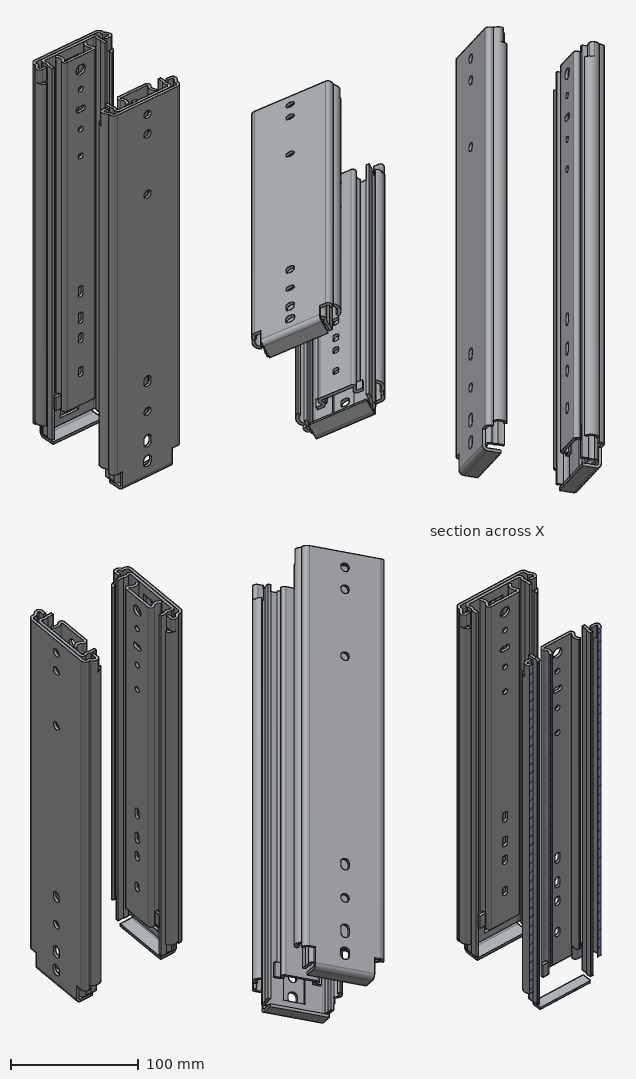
import cadquery as cq
import math

PAIR_WIDTH = 100.0
HEIGHT = 360.0
TOP = HEIGHT / 2
BOTTOM = -HEIGHT / 2

SHEET = 2.5
BEND_RADIUS = 1.8
BALL_DEPTH = 11.0
RACEWAY_OUTSIDE = 7.0
RACEWAY_INSIDE = RACEWAY_OUTSIDE - SHEET

STOP_LENGTH = 12.5
STOP_BEND_INSIDE = 0.55
STOP_BEND_OUTSIDE = STOP_BEND_INSIDE + SHEET

OUTER_HALF_WIDTH = 38.0
OUTER_FLANGE = 35.3
OUTER_BALL = OUTER_HALF_WIDTH - RACEWAY_OUTSIDE
OUTER_LIP_ANGLE = 20
OUTER_BOTTOM = -162.0
OUTER_RACEWAY_BOTTOM = -157.5
OUTER_STOP_DEPTH = BALL_DEPTH - 0.5
OUTER_STOP_END = 30.5
FOOT_HALF_WIDTH = 25.5
FOOT_DEPTH = 16.0

RAIL_GAP = 0.5
MIDDLE_FACE = SHEET + RAIL_GAP
MIDDLE_DEPTH = 17.5
MIDDLE_HALF_WIDTH = 28.5
MIDDLE_BEND = 1.0
MIDDLE_BOTTOM = -174.0
GROOVE_DEPTH_LINE = 9.7
GROOVE_HALF_WIDTH = 2.5
GROOVE_SAG = 0.7
WINDOW_HALF_WIDTH = 9.5
WINDOW_BOTTOM = -167.5
WINDOW_TOP = 170.5

INNER_FACE = 19.0
INNER_BALL = 18.7
INNER_BEND = 0.5
INNER_LIP_ANGLE = 218
INNER_BOTTOM = -152.0
INNER_STOP_DEPTH = BALL_DEPTH + 2.0
INNER_STOP_END = 20.0

OUTER_HOLES = [
    (167.0, 7.2, 7.2),
    (148.5, 7.2, 7.2),
    (91.0, 7.2, 7.2),
    (-86.8, 7.2, 9.7),
    (-115.5, 7.2, 7.2),
    (-143.5, 7.2, 11.5),
    (-162.7, 8.0, 10.5),
]
INNER_HOLES = [
    (167.0, 9.5, 9.5),
    (148.5, 5.0, 5.0),
    (129.5, 9.5, 5.0),
    (110.5, 5.0, 5.0),
    (85.0, 5.0, 5.0),
    (-44.0, 5.0, 10.5),
    (-69.0, 5.0, 10.5),
    (-88.2, 5.0, 9.0),
    (-120.2, 5.0, 9.0),
]


def polar(center, radius, degrees):
    angle = math.radians(degrees)
    return (center[0] + radius * math.cos(angle), center[1] + radius * math.sin(angle))


def curve(path, center, radius, start, end):
    """Continue the path, already at the start of an arc, along that arc; angles are in degrees."""
    return path.threePointArc(polar(center, radius, (start + end) / 2), polar(center, radius, end))


def arc(path, center, radius, start, end):
    """Run a straight line to the start of an arc, then follow the arc."""
    return curve(path.lineTo(*polar(center, radius, start)), center, radius, start, end)


def half_chord(offset, radius):
    """Half chord of a circle at a given offset from its centre."""
    return math.sqrt(radius**2 - offset**2)


def box(depths, widths, heights):
    size = [high - low for low, high in (depths, widths, heights)]
    corner = (depths[0], widths[0], heights[0])
    return cq.Workplane("XY").box(*size, centered=False).translate(corner)


def both_halves(half):
    return half.union(half.mirror("XZ")).clean()


def cut_holes(rail, holes):
    """Cut round holes and slots straight through a rail's web."""
    for height, across, along in holes:
        sketch = cq.Workplane("YZ").center(0, height)
        if along > across:
            sketch = sketch.slot2D(along, across, 90)
        elif across > along:
            sketch = sketch.slot2D(across, along)
        else:
            sketch = sketch.circle(across / 2)
        rail = rail.cut(sketch.extrude(INNER_FACE))
    return rail


def stop_tab(bend_depth, crown, end, side, low):
    """Tab that turns off a raceway crown and runs straight to `end`.

    `side` is +1 where the raceway crown faces away from the rail's centre and the tab bends to
    larger depth, and -1 where both are the other way round.
    """
    center = (bend_depth, crown - side * STOP_BEND_OUTSIDE)
    turn = 90 * side
    path = cq.Workplane("XY").workplane(offset=low)
    path = path.moveTo(bend_depth + side * STOP_BEND_INSIDE, end)
    path = arc(path, center, STOP_BEND_INSIDE, turn - 90, turn)
    path = arc(path, center, STOP_BEND_OUTSIDE, turn, turn - 90)
    path = path.lineTo(bend_depth + side * STOP_BEND_OUTSIDE, end)
    return path.close().extrude(STOP_LENGTH)


def outer_rail():
    ball = (BALL_DEPTH, OUTER_BALL)
    bend_outside = BEND_RADIUS + SHEET
    bend = (bend_outside, OUTER_FLANGE - bend_outside)
    root_outside = math.degrees(math.asin((OUTER_FLANGE - OUTER_BALL) / RACEWAY_OUTSIDE))
    root_inside = math.degrees(math.asin((OUTER_FLANGE - SHEET - OUTER_BALL) / RACEWAY_INSIDE))

    path = cq.Workplane("XY").workplane(offset=OUTER_BOTTOM).moveTo(0, 0)
    path = arc(path, bend, bend_outside, 180, 90)
    path = arc(path, ball, RACEWAY_OUTSIDE, 180 - root_outside, OUTER_LIP_ANGLE)
    path = arc(path, ball, RACEWAY_INSIDE, OUTER_LIP_ANGLE, 180 - root_inside)
    path = arc(path, bend, BEND_RADIUS, 90, 180)
    half = path.lineTo(SHEET, 0).close().extrude(TOP - OUTER_BOTTOM)

    root_depth = polar(ball, RACEWAY_OUTSIDE, 180 - root_outside)[0]
    beyond = PAIR_WIDTH / 2
    half = half.cut(box((root_depth, beyond), (0, beyond), (OUTER_BOTTOM, OUTER_RACEWAY_BOTTOM)))

    stop_low = TOP - STOP_LENGTH
    crown = OUTER_BALL + half_chord(OUTER_STOP_DEPTH - BALL_DEPTH, RACEWAY_OUTSIDE)
    half = half.cut(box((OUTER_STOP_DEPTH, beyond), (0, beyond), (stop_low, TOP)))
    half = half.union(stop_tab(OUTER_STOP_DEPTH, crown, OUTER_STOP_END, 1, stop_low))

    foot_bend = (bend_outside, BOTTOM + bend_outside)
    path = cq.Workplane("XZ").moveTo(0, OUTER_BOTTOM)
    path = arc(path, foot_bend, bend_outside, 180, 270)
    path = path.lineTo(FOOT_DEPTH, BOTTOM).lineTo(FOOT_DEPTH, BOTTOM + SHEET)
    path = arc(path, foot_bend, BEND_RADIUS, 270, 180)
    foot = path.lineTo(SHEET, OUTER_BOTTOM).close().extrude(FOOT_HALF_WIDTH, both=True)

    return cut_holes(both_halves(half).union(foot).clean(), OUTER_HOLES)


def middle_rail():
    bend_outside = MIDDLE_BEND + SHEET
    bend = (MIDDLE_FACE + bend_outside, MIDDLE_HALF_WIDTH - bend_outside)
    inside = MIDDLE_HALF_WIDTH - SHEET
    groove_start = GROOVE_DEPTH_LINE - GROOVE_HALF_WIDTH
    groove_end = GROOVE_DEPTH_LINE + GROOVE_HALF_WIDTH

    path = cq.Workplane("XY").workplane(offset=MIDDLE_BOTTOM).moveTo(MIDDLE_FACE, 0)
    path = arc(path, bend, bend_outside, 180, 90)
    path = path.lineTo(groove_start, MIDDLE_HALF_WIDTH)
    path = path.threePointArc(
        (GROOVE_DEPTH_LINE, MIDDLE_HALF_WIDTH - GROOVE_SAG), (groove_end, MIDDLE_HALF_WIDTH)
    )
    path = path.lineTo(MIDDLE_DEPTH, MIDDLE_HALF_WIDTH).lineTo(MIDDLE_DEPTH, inside)
    path = path.lineTo(groove_end, inside)
    path = path.threePointArc((GROOVE_DEPTH_LINE, inside - GROOVE_SAG), (groove_start, inside))
    path = arc(path, bend, MIDDLE_BEND, 90, 180)
    half = path.lineTo(MIDDLE_FACE + SHEET, 0).close().extrude(TOP - MIDDLE_BOTTOM)

    window = box(
        (0, MIDDLE_DEPTH), (-WINDOW_HALF_WIDTH, WINDOW_HALF_WIDTH), (WINDOW_BOTTOM, WINDOW_TOP)
    )
    return both_halves(half).cut(window)


def inner_rail():
    ball = (BALL_DEPTH, INNER_BALL)
    bend_outside = INNER_BEND + SHEET
    bend_depth = INNER_FACE - bend_outside
    bend_drop = half_chord(bend_depth - BALL_DEPTH, RACEWAY_INSIDE + bend_outside)
    bend = (bend_depth, INNER_BALL - bend_drop)
    joint = math.degrees(math.atan2(bend_drop, bend_depth - BALL_DEPTH))

    path = cq.Workplane("XY").workplane(offset=INNER_BOTTOM).moveTo(INNER_FACE, 0)
    path = arc(path, bend, bend_outside, 0, 180 - joint)
    path = curve(path, ball, RACEWAY_INSIDE, -joint, INNER_LIP_ANGLE - 360)
    path = arc(path, ball, RACEWAY_OUTSIDE, INNER_LIP_ANGLE - 360, -joint)
    path = curve(path, bend, INNER_BEND, 180 - joint, 0)
    half = path.lineTo(INNER_FACE - SHEET, 0).close().extrude(TOP - INNER_BOTTOM)

    crown = INNER_BALL - half_chord(INNER_STOP_DEPTH - BALL_DEPTH, RACEWAY_OUTSIDE)
    stop_top = INNER_BOTTOM + STOP_LENGTH
    half = half.cut(box((0, INNER_STOP_DEPTH), (0, OUTER_HALF_WIDTH), (INNER_BOTTOM, stop_top)))
    half = half.union(stop_tab(INNER_STOP_DEPTH, crown, INNER_STOP_END, -1, INNER_BOTTOM))

    return cut_holes(both_halves(half), INNER_HOLES)


bodies = []
for make_rail in (outer_rail, middle_rail, inner_rail):
    left = make_rail().translate((-PAIR_WIDTH / 2, 0, 0))
    right = left.mirror("YZ")
    bodies += [left.val(), right.val()]

result = cq.Compound.makeCompound(bodies)